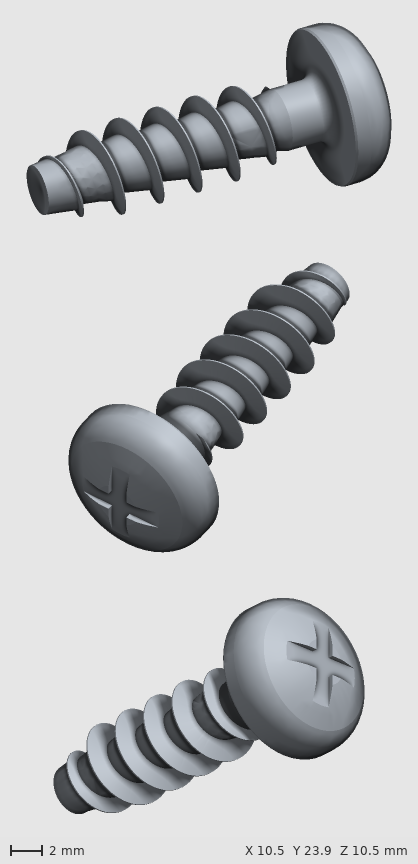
import cadquery as cq
import math

total_length = 23.9

head_diameter = 10.5
head_radius = head_diameter / 2
head_height = 3.92
flat_top_radius = 1.55
crown_edge_radius = 4.3
crown_edge_height = 2.9
crown_sphere_radius = 8.48
shoulder_radius = 2.2
rim_height = 1.08
rim_chamfer_height = 0.15
rim_chamfer_width = 0.07
slot_width = 1.36
slot_depth = 0.38

shank_radius = 2.05
neck_fillet = 0.76
shank_end = -2.96
lead_cone_length = 1.58
core_radius = 1.65
tip_radius = 1.65
tip_slope = 0.13
dimple_radius = 1.48
dimple_depth = 0.22
tip_end = head_height - total_length

five_turn_length = 13.45
pitch = five_turn_length / 5
crest_start = -4.52
crest_radius = 3.0
crest_width = 0.1
ridge_depth = 1.43
ridge_base_width = 1.0
run_in_turn = -0.9
full_from_turn = 0.5
full_to_turn = 4.25
run_out_turn = 5.55
run_in_slope = 0.57
run_out_slope = 0.95

flare_radius = 2.03
flare_inner_radius = 1.2
flare_top = 0.07
flare_widest = -0.25
flare_toe = -2.37
flare_toe_radius = 1.67

points_per_turn = 16


def helix_point(radius, axial_offset, turn):
    """Point at a turn position, offset along the axis from the crest line."""
    angle = 2 * math.pi * turn
    height = crest_start + axial_offset - pitch * turn
    return cq.Vector(radius * math.cos(angle), height, radius * math.sin(angle))


def helix_edge(radius_from, radius_to, axial_offset, turn_from, turn_to):
    """Helical edge whose radius changes evenly between two turn positions."""
    steps = math.ceil((turn_to - turn_from) * points_per_turn)
    points = []
    for i in range(steps + 1):
        share = i / steps
        turn = turn_from + share * (turn_to - turn_from)
        radius = radius_from + share * (radius_to - radius_from)
        points.append(helix_point(radius, axial_offset, turn))
    return cq.Edge.makeSpline(points)


def helical_solid(profile, stations):
    """Sweep a (radius, axial) polygon through (turn, radial shift) stations."""
    count = len(profile)
    faces = []
    for (turn_a, shift_a), (turn_b, shift_b) in zip(stations, stations[1:]):
        edges = [helix_edge(r + shift_a, r + shift_b, a, turn_a, turn_b) for r, a in profile]
        for i in range(count):
            faces.append(cq.Face.makeRuledSurface(edges[i], edges[(i + 1) % count]))
    for turn, shift in (stations[0], stations[-1]):
        corners = [helix_point(r + shift, a, turn) for r, a in profile]
        faces.append(cq.Face.makeFromWires(cq.Wire.makePolygon(corners, close=True)))
    solid = cq.Solid.makeSolid(cq.Shell.makeShell(faces))
    return cq.Workplane(obj=solid.fix())


def revolve_about_axis(outline):
    return outline.close().revolve(360, (0, 0), (0, 1))


def rod(radius, length):
    """Round bar that starts at the end of the plain shank and runs toward the tip."""
    return cq.Workplane("XZ", origin=(0, shank_end, 0)).circle(radius).extrude(length)


def make_head_and_shank():
    outline = (
        cq.Workplane("XY")
        .moveTo(0, shank_end)
        .lineTo(shank_radius, shank_end)
        .lineTo(shank_radius, -neck_fillet)
        .radiusArc((shank_radius + neck_fillet, 0), neck_fillet)
        .lineTo(head_radius - rim_chamfer_width, 0)
        .lineTo(head_radius, rim_chamfer_height)
        .lineTo(head_radius, rim_height)
        .radiusArc((crown_edge_radius, crown_edge_height), -shoulder_radius)
        .radiusArc((flat_top_radius, head_height), -crown_sphere_radius)
        .lineTo(0, head_height)
    )
    body = revolve_about_axis(outline)
    for length_x, length_z in ((slot_width, 2 * head_radius), (2 * head_radius, slot_width)):
        slot = cq.Workplane("XY").box(length_x, 2 * slot_depth, length_z)
        body = body.cut(slot.translate((0, head_height, 0)))
    return body


def make_core():
    profile = [
        (flare_inner_radius, flare_top),
        (flare_radius, flare_top),
        (flare_radius, flare_widest),
        (flare_toe_radius, flare_toe),
        (flare_inner_radius, flare_toe),
    ]
    flare = helical_solid(profile, [(run_in_turn, 0), (run_out_turn, 0)])
    core = rod(core_radius, shank_end - tip_end)
    cone_length = (crest_radius - tip_radius) / tip_slope
    envelope = revolve_about_axis(
        cq.Workplane("XY")
        .moveTo(0, tip_end)
        .lineTo(tip_radius, tip_end)
        .lineTo(crest_radius, tip_end + cone_length)
        .lineTo(crest_radius, shank_end)
        .lineTo(0, shank_end)
    )
    return core.union(flare).intersect(envelope)


def make_lead_cone():
    cone_end = shank_end - lead_cone_length
    outline = (
        cq.Workplane("XY")
        .moveTo(0, shank_end)
        .lineTo(shank_radius, shank_end)
        .lineTo(core_radius, cone_end)
        .lineTo(0, cone_end)
    )
    return revolve_about_axis(outline)


def make_tip_dimple():
    outline = (
        cq.Workplane("XY")
        .moveTo(0, tip_end)
        .lineTo(dimple_radius, tip_end)
        .lineTo(0, tip_end + dimple_depth)
    )
    return revolve_about_axis(outline)


def make_ridge():
    base = crest_radius - ridge_depth
    profile = [
        (base, ridge_base_width / 2),
        (crest_radius, crest_width / 2),
        (crest_radius, -crest_width / 2),
        (base, -ridge_base_width / 2),
    ]
    stations = [
        (run_in_turn, -run_in_slope * (full_from_turn - run_in_turn)),
        (full_from_turn, 0),
        (full_to_turn, 0),
        (run_out_turn, -run_out_slope * (run_out_turn - full_to_turn)),
    ]
    ridge = helical_solid(profile, stations)
    return ridge.intersect(rod(2 * crest_radius, shank_end - tip_end))


threaded_part = make_core().union(make_ridge())
result = make_head_and_shank().union(make_lead_cone()).union(threaded_part).cut(make_tip_dimple())